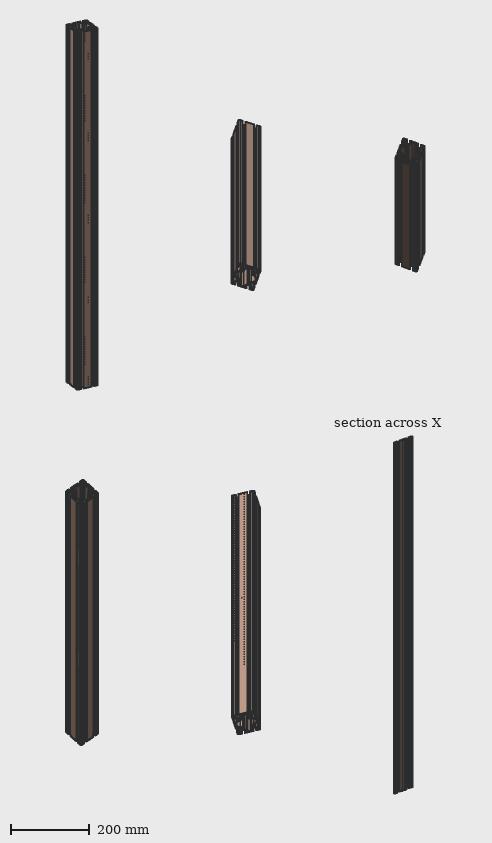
import cadquery as cq

side = 60.0
length = 1000.0
corner_radius = 3.5

slot_pitch = 30.0
slot_mouth_width = 7.0
slot_head_width = 17.0
slot_head_height = 3.5
slot_head_radius = 0.3
slot_floor_width = 4.5
lip_thickness = 3.0

core_width = 10.5
core_flat_width = 6.0
bore_diameter = 5.0

cavity_wall = 3.3
arm_end_width = 7.0
arm_taper_start = 17.6

hollow_width = 4.5
hollow_wall = 1.25

half_side = side / 2
core_centre = slot_pitch / 2
core_inner = core_centre - core_width / 2
core_outer = core_centre + core_width / 2
hollow_centre = half_side - hollow_wall - hollow_width / 2


def make_symmetric_prism(right_half):
    """Full-length prism from the right half of an outline mirrored about the Y axis."""
    left_half = [(-x, y) for x, y in reversed(right_half)]
    return cq.Workplane("XY").polyline(right_half + left_half).close().extrude(length)


def make_blank():
    blank = cq.Workplane("XY").rect(side, side).extrude(length)
    return blank.edges("|Z").fillet(corner_radius)


def make_slot():
    """T-slot open to the +Y face, with sloping flanks down to a narrow floor."""
    half_mouth = slot_mouth_width / 2
    half_head = slot_head_width / 2
    lip_level = half_side - lip_thickness
    slot = make_symmetric_prism(
        [
            (half_mouth, half_side),
            (half_mouth, lip_level),
            (half_head, lip_level),
            (half_head, lip_level - slot_head_height),
            (slot_floor_width / 2, core_outer),
        ]
    )
    for side_direction in (">X", "<X"):
        slot = slot.faces(side_direction).edges("|Z").fillet(slot_head_radius)
    return slot


def make_cavity_arm():
    """Quarter of the cavity pointing to +Y, with chamfered corners at the cores."""
    chamfer_start = core_centre - core_flat_width / 2
    return make_symmetric_prism(
        [
            (chamfer_start, 0),
            (chamfer_start, core_inner),
            (core_inner, chamfer_start),
            (core_inner, arm_taper_start),
            (arm_end_width / 2, half_side - cavity_wall),
        ]
    )


def make_bore():
    bore = cq.Workplane("XY").center(core_centre, core_centre)
    return bore.circle(bore_diameter / 2).extrude(length)


def make_corner_hollow():
    hollow = cq.Workplane("XY").center(hollow_centre, hollow_centre)
    return hollow.rect(hollow_width, hollow_width).extrude(length)


def make_profile():
    """Square bar with the same openings cut at every quarter turn."""
    slot = make_slot()
    openings = [
        slot.translate((-core_centre, 0, 0)),
        slot.translate((core_centre, 0, 0)),
        make_cavity_arm(),
        make_bore(),
        make_corner_hollow(),
    ]
    profile = make_blank()
    for quarter_turn in range(4):
        for opening in openings:
            profile = profile.cut(opening.rotate((0, 0, 0), (0, 0, 1), 90 * quarter_turn))
    return profile


result = make_profile()